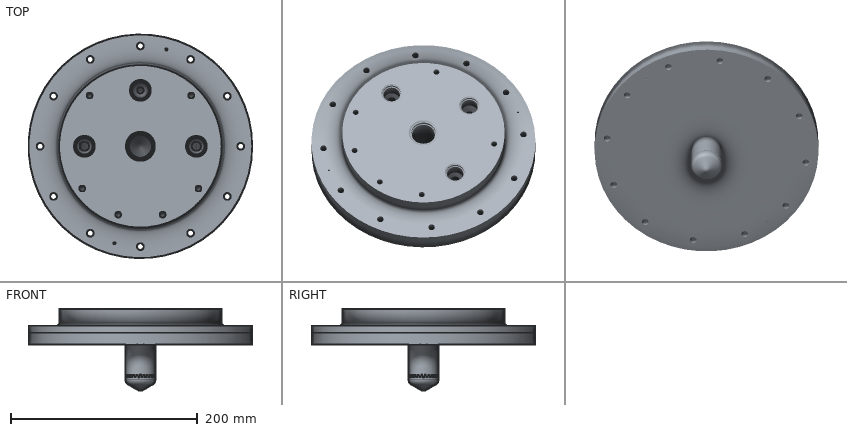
import cadquery as cq
import math

PLATE_DIAMETER = 240.0
LOWER_PLATE_THICKNESS = 13.0
UPPER_FLANGE_THICKNESS = 7.5
BOSS_HEIGHT = 18.0
BOSS_DIAMETER = 174.0
BOSS_ROOT_FILLET = 3.0

JOINT_Z = LOWER_PLATE_THICKNESS
FLANGE_TOP_Z = JOINT_Z + UPPER_FLANGE_THICKNESS
BOSS_TOP_Z = FLANGE_TOP_Z + BOSS_HEIGHT

BOLT_CIRCLE_RADIUS = 107.5
BOLT_COUNT = 12
BOLT_HOLE_DIAMETER = 7.0
DOWEL_HOLE_DIAMETER = 2.0
DOWEL_ANGLES = (75.0, 255.0)

BLIND_HOLE_RADIUS = 77.0
BLIND_HOLE_ANGLES = (45.0, 135.0, 216.0, 252.0, 288.0, 324.0)
BLIND_HOLE_DIAMETER = 6.35
BLIND_HOLE_DEPTH = 12.0
DRILL_POINT_HALF_ANGLE = 59.0

PORT_CONE_HALF_ANGLE = 60.0
SIDE_PORT_RADIUS = 60.0
SIDE_PORT_MOUTH_DIAMETER = 22.5
SIDE_PORT_LEDGE_DIAMETER = 20.2
SIDE_PORT_COUNTERBORE_DIAMETER = 19.53
SIDE_PORT_COUNTERBORE_DEPTH = 2.8
SIDE_PORT_BORE_DIAMETER = 17.6
SIDE_PORT_BORE_DEPTH = 15.0
SIDE_PORTS = ((0.0, 10.0), (90.0, 7.0), (180.0, 10.0))

CENTRE_MOUTH_DIAMETER = 31.2
CENTRE_LEDGE_DIAMETER = 28.2
CENTRE_COUNTERBORE_DIAMETER = 26.4
CENTRE_COUNTERBORE_DEPTH = 3.6
CENTRE_BORE_DIAMETER = 24.5

NOZZLE_DIAMETER = 32.5
NOZZLE_LENGTH = 49.41
NOZZLE_TIP_ANGLE = 30.0
NOZZLE_SHOULDER_RADIUS = 6.5
NOZZLE_TIP_RADIUS = 5.0
NOZZLE_FLOOR_THICKNESS = 4.0

JET_DIAMETER = 1.2
JET_COUNT = 26
FIRST_JET_ANGLE = -90.0
JET_UPPER_Z = -32.6
JET_LOWER_Z = -34.4

CHAMBER_DIAMETER = 130.0
CHAMBER_DEPTH = 8.0
CHAMBER_FLOOR_FILLET = 5.0


def cone_height(large_diameter, small_diameter, half_angle):
    """Axial length of a cone between two diameters."""
    return (large_diameter - small_diameter) / 2 / math.tan(math.radians(half_angle))


def revolve_profile(points):
    """Solid of revolution about Z from (radius, z) points."""
    return cq.Workplane("XZ").polyline(points).close().revolve(360, (0, 0), (0, 1))


def polar_place(tool, radius, angle):
    """Move a tool from the axis out to a polar position."""
    return tool.translate((radius, 0, 0)).rotate((0, 0, 0), (0, 0, 1), angle)


def port_mouth_points(mouth, ledge, counterbore, counterbore_depth, bore):
    """Port entry: mouth chamfer, narrow flat ledge, counterbore and lead-in cone to the bore."""
    ledge_z = BOSS_TOP_Z - cone_height(mouth, ledge, PORT_CONE_HALF_ANGLE)
    counterbore_z = BOSS_TOP_Z - counterbore_depth
    bore_z = counterbore_z - cone_height(counterbore, bore, PORT_CONE_HALF_ANGLE)
    return [
        (0, BOSS_TOP_Z),
        (mouth / 2, BOSS_TOP_Z),
        (ledge / 2, ledge_z),
        (counterbore / 2, ledge_z),
        (counterbore / 2, counterbore_z),
        (bore / 2, bore_z),
    ]


def side_port_cutter(outlet_diameter):
    """Side port: stepped bore, drill-point cone and an outlet down to the joint."""
    bore_z = BOSS_TOP_Z - SIDE_PORT_BORE_DEPTH
    outlet_z = bore_z - cone_height(SIDE_PORT_BORE_DIAMETER, outlet_diameter, DRILL_POINT_HALF_ANGLE)
    points = port_mouth_points(
        SIDE_PORT_MOUTH_DIAMETER,
        SIDE_PORT_LEDGE_DIAMETER,
        SIDE_PORT_COUNTERBORE_DIAMETER,
        SIDE_PORT_COUNTERBORE_DEPTH,
        SIDE_PORT_BORE_DIAMETER,
    )
    points += [
        (SIDE_PORT_BORE_DIAMETER / 2, bore_z),
        (outlet_diameter / 2, outlet_z),
        (outlet_diameter / 2, JOINT_Z),
        (0, JOINT_Z),
    ]
    return revolve_profile(points)


def centre_port_cutter():
    """Centre port: stepped entry and a straight bore down to the joint."""
    points = port_mouth_points(
        CENTRE_MOUTH_DIAMETER,
        CENTRE_LEDGE_DIAMETER,
        CENTRE_COUNTERBORE_DIAMETER,
        CENTRE_COUNTERBORE_DEPTH,
        CENTRE_BORE_DIAMETER,
    )
    points += [(CENTRE_BORE_DIAMETER / 2, JOINT_Z), (0, JOINT_Z)]
    return revolve_profile(points)


def blind_hole_cutter():
    """Drilled blind hole with a conical bottom."""
    radius = BLIND_HOLE_DIAMETER / 2
    shoulder_z = BOSS_TOP_Z - BLIND_HOLE_DEPTH
    point_z = shoulder_z - cone_height(BLIND_HOLE_DIAMETER, 0, DRILL_POINT_HALF_ANGLE)
    return revolve_profile([(0, BOSS_TOP_Z), (radius, BOSS_TOP_Z), (radius, shoulder_z), (0, point_z)])


def cut_flange_holes(plate):
    """Bolt circle and dowel holes, through the whole flange stack."""
    bolt_cutter = cq.Workplane("XY").circle(BOLT_HOLE_DIAMETER / 2).extrude(FLANGE_TOP_Z)
    dowel_cutter = cq.Workplane("XY").circle(DOWEL_HOLE_DIAMETER / 2).extrude(FLANGE_TOP_Z)
    for index in range(BOLT_COUNT):
        plate = plate.cut(polar_place(bolt_cutter, BOLT_CIRCLE_RADIUS, index * 360 / BOLT_COUNT))
    for angle in DOWEL_ANGLES:
        plate = plate.cut(polar_place(dowel_cutter, BOLT_CIRCLE_RADIUS, angle))
    return plate


def make_upper_plate():
    plate_radius = PLATE_DIAMETER / 2
    boss_radius = BOSS_DIAMETER / 2
    fillet_centre = (boss_radius + BOSS_ROOT_FILLET, FLANGE_TOP_Z + BOSS_ROOT_FILLET)
    fillet_reach = BOSS_ROOT_FILLET * math.sqrt(0.5)
    plate = (
        cq.Workplane("XZ")
        .moveTo(0, JOINT_Z)
        .lineTo(plate_radius, JOINT_Z)
        .lineTo(plate_radius, FLANGE_TOP_Z)
        .lineTo(fillet_centre[0], FLANGE_TOP_Z)
        .threePointArc(
            (fillet_centre[0] - fillet_reach, fillet_centre[1] - fillet_reach),
            (boss_radius, fillet_centre[1]),
        )
        .lineTo(boss_radius, BOSS_TOP_Z)
        .lineTo(0, BOSS_TOP_Z)
        .close()
        .revolve(360, (0, 0), (0, 1))
    )
    plate = cut_flange_holes(plate)
    plate = plate.cut(centre_port_cutter())
    for angle, outlet_diameter in SIDE_PORTS:
        plate = plate.cut(polar_place(side_port_cutter(outlet_diameter), SIDE_PORT_RADIUS, angle))
    for angle in BLIND_HOLE_ANGLES:
        plate = plate.cut(polar_place(blind_hole_cutter(), BLIND_HOLE_RADIUS, angle))
    return plate


def nozzle_body():
    """Solid nozzle with a rounded shoulder, a conical end and a rounded tip."""
    slope = math.radians(NOZZLE_TIP_ANGLE)
    nozzle_radius = NOZZLE_DIAMETER / 2

    tip_centre_z = -NOZZLE_LENGTH + NOZZLE_TIP_RADIUS
    tip_edge = (NOZZLE_TIP_RADIUS * math.sin(slope), tip_centre_z - NOZZLE_TIP_RADIUS * math.cos(slope))
    tip_middle = (
        NOZZLE_TIP_RADIUS * math.sin(slope / 2),
        tip_centre_z - NOZZLE_TIP_RADIUS * math.cos(slope / 2),
    )

    shoulder_centre_x = nozzle_radius - NOZZLE_SHOULDER_RADIUS
    shoulder_edge_x = shoulder_centre_x + NOZZLE_SHOULDER_RADIUS * math.sin(slope)
    shoulder_edge_z = tip_edge[1] + (shoulder_edge_x - tip_edge[0]) * math.tan(slope)
    shoulder_centre_z = shoulder_edge_z + NOZZLE_SHOULDER_RADIUS * math.cos(slope)
    middle_angle = (math.pi / 2 + slope) / 2
    shoulder_middle = (
        shoulder_centre_x + NOZZLE_SHOULDER_RADIUS * math.sin(middle_angle),
        shoulder_centre_z - NOZZLE_SHOULDER_RADIUS * math.cos(middle_angle),
    )
    return (
        cq.Workplane("XZ")
        .moveTo(0, JOINT_Z)
        .lineTo(0, -NOZZLE_LENGTH)
        .threePointArc(tip_middle, tip_edge)
        .lineTo(shoulder_edge_x, shoulder_edge_z)
        .threePointArc(shoulder_middle, (nozzle_radius, shoulder_centre_z))
        .lineTo(nozzle_radius, JOINT_Z)
        .close()
        .revolve(360, (0, 0), (0, 1))
    )


def nozzle_bore_cutter():
    """Blind nozzle bore with a drill-point bottom."""
    radius = CENTRE_BORE_DIAMETER / 2
    point_z = -NOZZLE_LENGTH + NOZZLE_FLOOR_THICKNESS
    shoulder_z = point_z + cone_height(CENTRE_BORE_DIAMETER, 0, DRILL_POINT_HALF_ANGLE)
    return revolve_profile([(0, JOINT_Z), (radius, JOINT_Z), (radius, shoulder_z), (0, point_z)])


def chamber_cutter():
    """Ring chamber with a rounded outer floor corner."""
    chamber = (
        cq.Workplane("XY", origin=(0, 0, JOINT_Z - CHAMBER_DEPTH))
        .circle(CHAMBER_DIAMETER / 2)
        .extrude(CHAMBER_DEPTH)
        .faces("<Z")
        .edges()
        .fillet(CHAMBER_FLOOR_FILLET)
    )
    hub = cq.Workplane("XY").circle(NOZZLE_DIAMETER / 2).extrude(JOINT_Z)
    return chamber.cut(hub)


def cut_jet_ring(body, height, start_angle):
    """One ring of radial jet holes through the nozzle wall."""
    jet_cutter = (
        cq.Workplane("YZ")
        .center(0, height)
        .circle(JET_DIAMETER / 2)
        .extrude(NOZZLE_DIAMETER)
    )
    for index in range(JET_COUNT):
        angle = start_angle + index * 360 / JET_COUNT
        body = body.cut(jet_cutter.rotate((0, 0, 0), (0, 0, 1), angle))
    return body


def make_lower_plate():
    plate = cq.Workplane("XY").circle(PLATE_DIAMETER / 2).extrude(LOWER_PLATE_THICKNESS)
    plate = plate.cut(chamber_cutter())
    plate = cut_flange_holes(plate)
    plate = plate.union(nozzle_body())
    plate = plate.cut(nozzle_bore_cutter())
    half_pitch = 180 / JET_COUNT
    plate = cut_jet_ring(plate, JET_UPPER_Z, FIRST_JET_ANGLE)
    return cut_jet_ring(plate, JET_LOWER_Z, FIRST_JET_ANGLE + half_pitch)


upper_plate = make_upper_plate()
lower_plate = make_lower_plate()

result = cq.Compound.makeCompound([upper_plate.val(), lower_plate.val()])